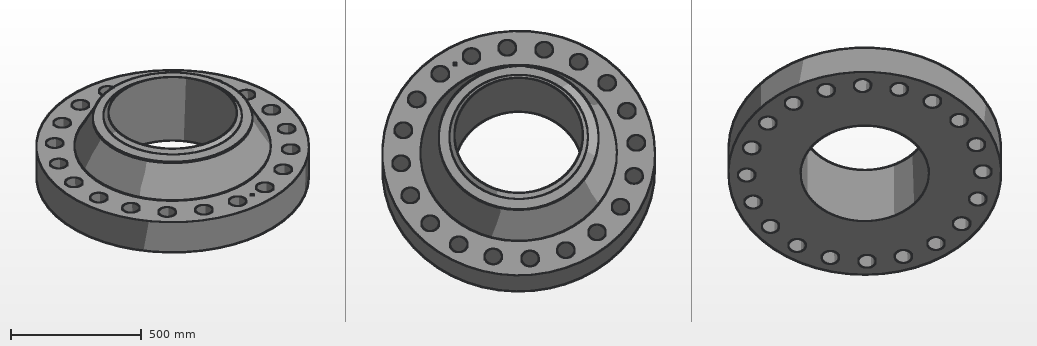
import cadquery as cq
import math

flange_diameter = 1041.0
flange_thickness = 140.0
bore_radius = 245.0

total_height = 293.0
hub_base_radius = 375.0
hub_base_band = 3.0
hub_top_radius = 305.0
hub_top_band = 6.0
shoulder_height = 273.0

bevel_base_radius = 264.0
bevel_base_height = 279.0
weld_land_width = 1.0

bolt_count = 20
bolt_circle_radius = 451.0
bolt_hole_diameter = 67.0
small_hole_diameter = 12.0
small_hole_depth = 21.0
bolt_pitch_angle = 360 / bolt_count


def make_body():
    """Revolve the half section of flange, hub and weld bevel about Z."""
    flange_radius = flange_diameter / 2
    return (
        cq.Workplane("XZ")
        .moveTo(bore_radius, 0)
        .lineTo(flange_radius, 0)
        .lineTo(flange_radius, flange_thickness)
        .lineTo(hub_base_radius, flange_thickness)
        .lineTo(hub_base_radius, flange_thickness + hub_base_band)
        .lineTo(hub_top_radius, shoulder_height - hub_top_band)
        .lineTo(hub_top_radius, shoulder_height)
        .lineTo(bevel_base_radius, bevel_base_height)
        .lineTo(bore_radius + weld_land_width, total_height)
        .lineTo(bore_radius, total_height)
        .close()
        .revolve(360, (0, 0, 0), (0, 1, 0))
    )


def make_bolt_holes():
    """Through cutters evenly spaced on the bolt circle, the first on +X."""
    return (
        cq.Workplane("XY")
        .polarArray(bolt_circle_radius, 0, 360, bolt_count)
        .circle(bolt_hole_diameter / 2)
        .extrude(flange_thickness)
    )


def make_small_hole():
    """Blind cutter in the flange top, half a bolt pitch round from +X."""
    angle = math.radians(bolt_pitch_angle / 2)
    return (
        cq.Workplane("XY", origin=(0, 0, flange_thickness - small_hole_depth))
        .center(bolt_circle_radius * math.cos(angle), bolt_circle_radius * math.sin(angle))
        .circle(small_hole_diameter / 2)
        .extrude(small_hole_depth)
    )


result = make_body().cut(make_bolt_holes()).cut(make_small_hole())